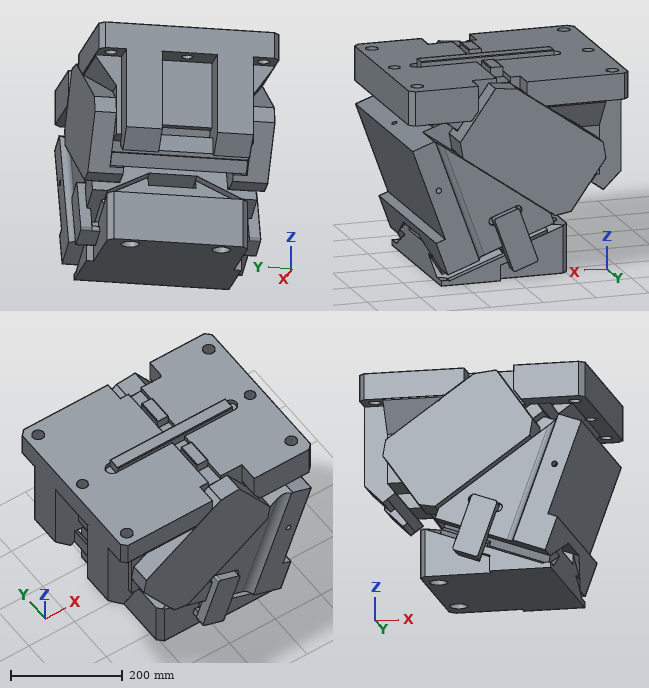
import cadquery as cq
import math


RAMP_ANGLE = 35
SLIDE_ANGLE = 20
ROOF_ANGLE = 30

ramp_cos = math.cos(math.radians(RAMP_ANGLE))
ramp_sin = math.sin(math.radians(RAMP_ANGLE))
slide_cos = math.cos(math.radians(SLIDE_ANGLE))
slide_sin = math.sin(math.radians(SLIDE_ANGLE))
roof_tan = math.tan(math.radians(ROOF_ANGLE))

UPRIGHT = cq.Plane(origin=(0, 0, 0), xDir=(1, 0, 0), normal=(0, -1, 0))
RAMP = cq.Plane(origin=(0, 0, 0), xDir=(ramp_cos, 0, ramp_sin), normal=(0, -1, 0))
SLIDE = cq.Plane(origin=(0, 0, 0), xDir=(slide_cos, 0, -slide_sin), normal=(0, -1, 0))

FAR = 830

width = 330.0
half_width = width / 2
plate_length = 415.0
plate_half = plate_length / 2

key_top = 384.0
plate_top = 374.5
plate_bottom = 325.8
plate_low_bottom = 310.5

ledge_height = 135.0
side_gap = 1.5
rail_bottom = 172.2
rail_top = 197.0
rail_half = 124.5
web_half = 98.8
block_half = 125.7

base_half = 128.5
roof_eave = 51.0
ridge_half = 43.5
roof_ridge = roof_eave + (base_half - ridge_half) * roof_tan
skirt_bottom = 72.0
pad_outer = 115.8
pad_bottom = roof_eave + (base_half - pad_outer) * roof_tan
channel_half = pad_outer + (skirt_bottom - pad_bottom) * roof_tan
channel_top = skirt_bottom + (channel_half - ridge_half) * roof_tan


def rectangle(low_x, high_x, low_y, high_y):
    return [(low_x, low_y), (high_x, low_y), (high_x, high_y), (low_x, high_y)]


def wide(plane, points, half):
    """Outline in the plane, extruded from Y = -half to Y = half."""
    return cq.Workplane(plane).polyline(points).close().extrude(half, both=True)


def pair(plane, points, inner, outer):
    """Outline in the plane, extruded between |Y| = inner and |Y| = outer on both sides."""
    near = cq.Workplane(plane).workplane(offset=inner)
    side = near.polyline(points).close().extrude(outer - inner)
    return side.union(side.mirror("XZ"))


def along_slide(points, start, end):
    """Outline of (Y, height square to the slide), extruded along the slide direction."""
    plane = cq.Plane(
        origin=(start * slide_cos, 0, -start * slide_sin),
        xDir=(0, 1, 0),
        normal=(slide_cos, 0, -slide_sin),
    )
    return cq.Workplane(plane).polyline(points).close().extrude(end - start)


def mirror_points(points):
    """Symmetric closed outline from its +Y half, listed from the outside to the middle."""
    return points + [(-y, height) for y, height in reversed(points)]


block_start = -163.0
corner_chamfer = 10.0
pocket_start = -13.3
pocket_end = 78.0

leg_bottom = 178.5
leg_inner = 50.5
leg_outer = 116.0
leg_toe = (-150.5, 162.3)
leg_outline = [
    (-plate_half, plate_bottom),
    (-plate_half, leg_bottom),
    (-174.0, 145.5),
    leg_toe,
    (block_start, leg_bottom),
    (block_start, plate_bottom),
]

relief_end = 290.0
stop_tip = 153.5
stop_length = 50.0


def driver_plate():
    thin = wide(UPRIGHT, rectangle(-plate_half, plate_half, plate_bottom, plate_top), half_width)
    thick = wide(UPRIGHT, rectangle(pocket_end, plate_half, plate_low_bottom, plate_top), half_width)
    return thin.union(thick).edges("|Z and (<X or >X)").chamfer(corner_chamfer)


def driver_block():
    """Block under the plate; its sloped pad carries the ramp contact face."""
    notch_height = 203.5
    recess_depth = 6.2
    pad_length = 207.5
    pad_thickness = 52.0
    recess_floor = block_start + recess_depth
    block = wide(UPRIGHT, rectangle(block_start, pocket_end, leg_bottom, plate_top), block_half)
    notch = wide(UPRIGHT, rectangle(block_start, pocket_end, leg_bottom, notch_height), leg_inner)
    recess = wide(UPRIGHT, rectangle(block_start, recess_floor, leg_bottom, plate_bottom), leg_inner)
    pad = wide(RAMP, rectangle(0, pad_length, rail_top, rail_top + pad_thickness), block_half)
    return block.cut(notch).cut(recess).union(pad)


def crossbar():
    """Triangular bar that joins the hooked toes of the legs."""
    outline = [(-165.5, 151.5), leg_toe, (-165.5, 181.8)]
    return wide(UPRIGHT, outline, leg_outer)


def gussets():
    """Sloped braces between the block sides and the plate."""
    gusset_bottom = 269.8
    gusset_end = -45.5
    inset = 1.2
    lip = 2.5
    outer = half_width - inset
    outline = [
        (block_half, plate_bottom),
        (outer, plate_bottom),
        (outer, plate_bottom - lip),
        (block_half, gusset_bottom),
    ]
    plane = cq.Plane(origin=(block_start, 0, 0), xDir=(0, 1, 0), normal=(1, 0, 0))
    gusset = cq.Workplane(plane).polyline(outline).close().extrude(gusset_end - block_start)
    return gusset.union(gusset.mirror("XZ"))


def end_stop():
    """Ramp-aligned stop below the +X end of the plate."""
    outline = rectangle(relief_end, relief_end + stop_length, stop_tip, rail_top)
    stop = wide(RAMP, outline, leg_outer)
    inside_plate = wide(UPRIGHT, rectangle(-FAR, FAR, plate_low_bottom, FAR), half_width)
    return stop.cut(inside_plate)


retainer_start = -8.0
retainer_end = 248.0
retainer_low = ledge_height + side_gap
retainer_high = 294.2


def retainers():
    """Side plates with a lip that hooks under the slider rail."""
    chamfer = 21.5
    top_chamfer_length = 35.5
    top_chamfer_height = 20.0
    outline = [
        (retainer_start + chamfer, retainer_low),
        (retainer_end - chamfer, retainer_low),
        (retainer_end, retainer_low + chamfer),
        (retainer_end, retainer_high - top_chamfer_height),
        (retainer_end - top_chamfer_length, retainer_high),
        (retainer_start + chamfer, retainer_high),
        (retainer_start, retainer_high - chamfer),
        (retainer_start, retainer_low + chamfer),
    ]
    plates = pair(RAMP, outline, block_half, half_width)
    lips = pair(RAMP, outline, web_half + side_gap, block_half)
    above_lip = wide(RAMP, rectangle(-FAR, FAR, rail_bottom - side_gap, FAR), block_half)
    return plates.union(lips.cut(above_lip))


def retainer_clearance():
    """Narrow gap between the retainers and the plate around them."""
    end_gap = 4.0
    top_gap = 1.0
    outline = rectangle(
        retainer_start, retainer_end + end_gap, retainer_low, retainer_high + top_gap
    )
    corner_drop = 25.0
    above_corner = wide(
        RAMP,
        rectangle(retainer_end - corner_drop, FAR, retainer_high - corner_drop, FAR),
        half_width,
    )
    return pair(RAMP, outline, block_half, half_width).cut(above_corner)


def side_pockets():
    """Openings at both plate edges that receive the retainers; one corner is rounded."""
    corner_radius = 6.2
    pocket = pair(UPRIGHT, rectangle(pocket_start, pocket_end, 0, plate_top), block_half, half_width)
    corner = cq.selectors.NearestToPointSelector((pocket_end, block_half, plate_top / 2))
    return pocket.edges(corner).fillet(corner_radius)


slot_floor = 365.0
cross_slot_center = 18.3
cross_slot_width = 26.5
long_slot_center = 11.0
long_slot_length = 284.0
long_slot_width = 25.0


def key_slots():
    depth = plate_top - slot_floor
    floor = cq.Workplane("XY").workplane(offset=slot_floor)
    cross = floor.center(cross_slot_center, 0).rect(cross_slot_width, width).extrude(depth)
    lengthwise = floor.center(long_slot_center, 0).slot2D(long_slot_length, long_slot_width).extrude(depth)
    return cross.union(lengthwise)


def keys():
    long_key_length = 250.5
    short_key_length = 50.5
    short_key_width = 24.0
    short_key_offset = 62.2
    edge_chamfer = 1.5
    height = key_top - slot_floor
    floor = cq.Workplane("XY").workplane(offset=slot_floor)
    long_key = floor.center(long_slot_center, 0).rect(long_key_length, long_slot_width).extrude(height)
    short_keys = (
        floor.pushPoints([(cross_slot_center, side * short_key_offset) for side in (-1, 1)])
        .rect(short_key_width, short_key_length)
        .extrude(height)
    )
    long_key = long_key.faces(">Z").edges("|X").chamfer(edge_chamfer)
    short_keys = short_keys.faces(">Z").edges("|Y").chamfer(edge_chamfer)
    return long_key.union(short_keys)


def plate_holes():
    hole_x = 183.0
    bolt_diameter = 22.5
    dowel_diameter = 20.8
    left_spacing = 279.7
    right_spacing = 260.5
    bolts = [(-hole_x, side * left_spacing / 2) for side in (-1, 1)]
    bolts += [(hole_x, side * right_spacing / 2) for side in (-1, 1)]
    dowels = [(-hole_x, 0), (hole_x, 0)]
    start = cq.Workplane("XY").workplane(offset=plate_low_bottom)
    depth = plate_top - plate_low_bottom
    bolt_holes = start.pushPoints(bolts).circle(bolt_diameter / 2).extrude(depth)
    return bolt_holes.union(start.pushPoints(dowels).circle(dowel_diameter / 2).extrude(depth))


def make_driver():
    ramp_clearance = wide(RAMP, rectangle(-FAR, relief_end, -FAR, rail_top), block_half)
    body = driver_plate().union(driver_block()).union(gussets())
    body = body.cut(ramp_clearance).cut(side_pockets()).cut(retainer_clearance())
    body = body.cut(key_slots()).cut(plate_holes())
    legs = pair(UPRIGHT, leg_outline, leg_inner, leg_outer)
    body = body.union(legs).union(crossbar()).union(end_stop())
    return body.union(retainers()).union(keys())


skirt_start = -100.5
toe_end = 118.5
toe_top = 136.5
back_end = 100.5
slider_top = 316.5
narrow_half = 150.5
cove_start = 40.5
cove_radius = half_width - narrow_half

clip_start = -46.0
clip_end = 3.5
clip_bottom = 23.5
clip_top = 132.0
clip_inner = 144.0


def slider_plan_plane(height):
    """Plane parallel to the slide direction, at a height square to it."""
    return cq.Plane(
        origin=(height * slide_sin, 0, height * slide_cos),
        xDir=(slide_cos, 0, -slide_sin),
        normal=(slide_sin, 0, slide_cos),
    )


def slider_block():
    """Plan outline, narrow at the -X end, widened through a cove, extruded square to the slide."""
    cove_end = cove_start + cove_radius
    arc_offset = cove_radius * math.sqrt(0.5)
    half_plan = (
        cq.Workplane(slider_plan_plane(skirt_bottom))
        .moveTo(skirt_start, 0)
        .lineTo(skirt_start, narrow_half)
        .lineTo(cove_start, narrow_half)
        .threePointArc((cove_start + arc_offset, half_width - arc_offset), (cove_end, half_width))
        .lineTo(toe_end, half_width)
        .lineTo(toe_end, 0)
        .close()
        .extrude(slider_top - skirt_bottom)
    )
    above_toe = wide(SLIDE, rectangle(back_end, FAR, toe_top, FAR), half_width)
    return half_plan.union(half_plan.mirror("XZ")).cut(above_toe)


def ramp_rail():
    """T-shaped rail: the full-width slab that the lips of the retainers hook under."""
    rail_start = -4.0
    rail_end = 271.0
    return wide(RAMP, rectangle(rail_start, rail_end, rail_bottom, rail_top), rail_half)


def roof_recess():
    """Roof-shaped channel along the underside that rides on the base pads."""
    section = mirror_points([(channel_half, skirt_bottom), (ridge_half, channel_top)])
    return along_slide(section, skirt_start, toe_end)


def clips():
    """Hooked side clips that hang below the skirt beside the base."""
    hook_inner = base_half + 1.0
    hook_top = 35.0
    corner_radius = 4.0
    outline = rectangle(clip_start, clip_end, clip_bottom, clip_top)
    plates = pair(SLIDE, outline, clip_inner, half_width).edges("|Y").fillet(corner_radius)
    hook = rectangle(clip_start + corner_radius, clip_end - corner_radius, clip_bottom, hook_top)
    return plates.union(pair(SLIDE, hook, hook_inner, clip_inner))


def clip_reliefs():
    """Round corner reliefs at the upper clip corners."""
    radius = 8.0
    height = clip_top - radius
    start = cq.Workplane(SLIDE).workplane(offset=clip_inner)
    side = start.pushPoints([(clip_start, height), (clip_end, height)]).circle(radius)
    side = side.extrude(half_width - clip_inner)
    return side.union(side.mirror("XZ"))


def slider_holes():
    """Blind hole in each side and one in the top face, square to the slide."""
    diameter = 10.0
    side_depth = 20.8
    side_x = 153.0
    side_z = 186.0
    start = cq.Workplane(UPRIGHT).workplane(offset=half_width - side_depth)
    side = start.center(side_x, side_z).circle(diameter / 2).extrude(side_depth)
    top_position = 79.5
    top_depth = 33.0
    floor = slider_plan_plane(slider_top - top_depth)
    top = cq.Workplane(floor).center(top_position, 0).circle(diameter / 2).extrude(top_depth)
    return side.union(side.mirror("XZ")).union(top)


def make_slider():
    above_ledge = rectangle(-FAR, FAR, ledge_height, FAR)
    above_web = rectangle(-FAR, FAR, rail_bottom, FAR)
    body = slider_block()
    body = body.cut(pair(RAMP, above_ledge, web_half, half_width))
    body = body.cut(wide(RAMP, above_web, half_width))
    body = body.union(ramp_rail()).cut(roof_recess())
    return body.cut(clip_reliefs()).cut(slider_holes()).union(clips())


base_start = -103.8
base_end = 141.0
base_top = 166.0
base_flat = 89.5
roof_start = -87.5
base_chamfer = 10.5
flank_start = 28.5
flank_half = 142.0
ledge_bottom = 37.5
foot_start = 126.5
foot_height = 10.0


def roof_body():
    """Base body under the roof-shaped guide."""
    block = wide(UPRIGHT, rectangle(base_start, base_end, 0, base_top), base_half)
    block = block.edges("|Z and <X").chamfer(base_chamfer)
    roof = along_slide(
        mirror_points([
            (base_half, -FAR),
            (base_half, roof_eave),
            (ridge_half, roof_ridge),
        ]),
        -FAR,
        FAR,
    )
    in_front = wide(SLIDE, rectangle(-FAR, roof_start, -FAR, FAR), base_half)
    above_flat = wide(UPRIGHT, rectangle(-FAR, FAR, base_flat, FAR), base_half)
    return block.intersect(roof).cut(in_front.intersect(above_flat))


def roof_pad(outer, bottom, top, end):
    """Slab on both roof slopes, with its outer edge square to the slope."""
    top_outer = outer + (top - bottom) * roof_tan
    section = [
        (outer, bottom),
        (top_outer, top),
        (ridge_half, top + (top_outer - ridge_half) * roof_tan),
        (ridge_half, roof_ridge),
    ]
    beyond_base = wide(UPRIGHT, rectangle(base_end, FAR, 0, base_top), base_half)
    pad = along_slide(section, roof_start, end).cut(beyond_base)
    return pad.union(pad.mirror("XZ"))


def wear_pads():
    """Full-length pads that carry the slider, over wider pads at the -X end."""
    wide_pad_top = 58.5
    carrying_pads = roof_pad(pad_outer, pad_bottom, skirt_bottom, toe_end)
    return carrying_pads.union(roof_pad(base_half, roof_eave, wide_pad_top, clip_end))


def flanks():
    """Wider lower sides at the +X end, with a ledge for the clips and a low foot."""
    sides = pair(UPRIGHT, rectangle(flank_start, base_end, 0, base_flat), base_half, flank_half)
    above_eave = wide(SLIDE, rectangle(-FAR, FAR, roof_eave, FAR), flank_half)
    ledge_start = -33.5
    ledge_end = 29.0
    clip_ledge = rectangle(ledge_start, ledge_end, ledge_bottom, roof_eave)
    sides = sides.union(pair(SLIDE, clip_ledge, base_half, flank_half))
    foot = wide(UPRIGHT, rectangle(foot_start, base_end, 0, foot_height), flank_half)
    return sides.cut(above_eave).union(foot)


def base_holes():
    diameter = 33.0
    hole_x = -78.5
    hole_y = 83.5
    points = [(hole_x, side * hole_y) for side in (-1, 1)]
    return cq.Workplane("XY").pushPoints(points).circle(diameter / 2).extrude(base_flat)


def make_base():
    return roof_body().union(wear_pads()).union(flanks()).cut(base_holes())


driver = make_driver()
slider = make_slider()
base = make_base()

result = cq.Compound.makeCompound([driver.val(), slider.val(), base.val()])